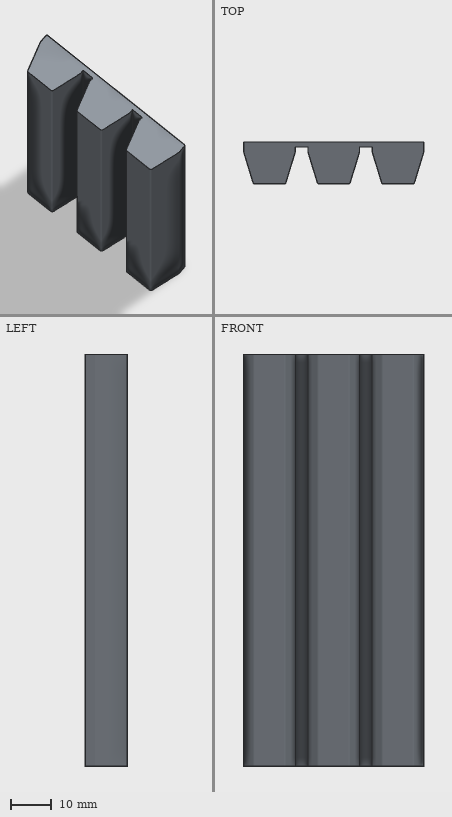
import cadquery as cq
import math

width = 44.5
depth = 10.4
length = 101.6

rib_count = 3
groove_width = 3.0
rib_width = (width - (rib_count - 1) * groove_width) / rib_count
rib_pitch = rib_width + groove_width
web_thickness = 1.3
shoulder_depth = 2.4
flank_angle = 17.0
tip_radius = 0.5
back_radius = 0.3

back_y = depth / 2
tip_y = -depth / 2
shoulder_y = back_y - shoulder_depth
tip_half_width = rib_width / 2 - (depth - shoulder_depth) * math.tan(math.radians(flank_angle))


def make_rib(center_x):
    """Full-length rib with sloping flanks and rounded tip edges."""
    rib = (
        cq.Workplane("XY")
        .polyline([
            (-rib_width / 2, back_y),
            (-rib_width / 2, shoulder_y),
            (-tip_half_width, tip_y),
            (tip_half_width, tip_y),
            (rib_width / 2, shoulder_y),
            (rib_width / 2, back_y),
        ])
        .close()
        .extrude(length)
    )
    rib = rib.faces("<Y").edges("|Z").fillet(tip_radius)
    return rib.translate((center_x, 0, -length / 2))


web = cq.Workplane("XY").box(width, web_thickness, length)
body = web.translate((0, back_y - web_thickness / 2, 0))

for index in range(rib_count):
    body = body.union(make_rib((index - (rib_count - 1) / 2) * rib_pitch))

result = body.clean().faces(">Y").edges("|Z").fillet(back_radius)